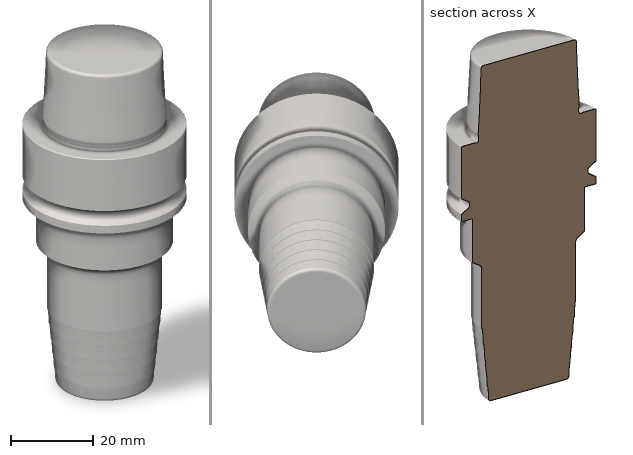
import cadquery as cq
import math

total_height = 89.9
flange_top = 69.9
flange_bottom = 49.8
collar_bottom = 38.1
grip_top = 20.05

taper_top_radius = 14.2
taper_base_radius = 15.1
taper_base_height = 71.9
taper_top_round = 0.8
neck_radius = 14.9
neck_top = 71.2
neck_foot_radius = 15.3
neck_foot_top = 70.4
recess_radius = 16.0
recess_depth = 0.2

flange_diameter = 40.0
flange_radius = flange_diameter / 2
flange_chamfer = 0.2
groove_top = 55.9
groove_bottom = 51.9
groove_radius = 17.6
groove_round = 0.8

collar_radius = 16.7
body_radius = 14.0
shoulder_round = 1.1
flank_angle = math.radians(30)

band_count = 5
band_step = 0.135
nose_radius = 12.0
nose_round = 0.8


def cone_drop(outer_radius, inner_radius):
    """Axial length of a conical flank between two radii."""
    return (outer_radius - inner_radius) * math.tan(flank_angle)


def revolve_profile(points):
    """Solid of revolution about Z from (radius, height) points."""
    return cq.Workplane("XZ").polyline(points).close().revolve(360, (0, 0, 0), (0, 1, 0))


def circle_edge(radius, height):
    """Selector for the circular edge that crosses the given radius and height."""
    margin = 0.02
    return cq.selectors.BoxSelector(
        (-radius - margin, -radius - margin, height - margin),
        (radius + margin, radius + margin, height + margin),
        boundingbox=True,
    )


def nose_bands():
    """Points down the stepped, tapered nose."""
    band_height = grip_top / band_count
    band_taper = (body_radius - nose_radius) / band_count - band_step
    points = []
    radius = body_radius
    for band in range(band_count):
        band_top = grip_top - band * band_height
        radius -= band_step
        points.append((radius, band_top))
        radius -= band_taper
        points.append((radius, band_top - band_height))
    return points


groove_drop = cone_drop(flange_radius, groove_radius)
groove_floor_top = groove_top - groove_drop
groove_floor_bottom = groove_bottom + groove_drop
shoulder_bottom = collar_bottom - cone_drop(collar_radius, body_radius)

profile = [
    (0, total_height),
    (taper_top_radius, total_height),
    (taper_base_radius, taper_base_height),
    (neck_radius, neck_top),
    (neck_radius, neck_foot_top),
    (neck_foot_radius, flange_top - recess_depth),
    (recess_radius, flange_top),
    (flange_radius - flange_chamfer, flange_top),
    (flange_radius, flange_top - flange_chamfer),
    (flange_radius, groove_top),
    (groove_radius, groove_floor_top),
    (groove_radius, groove_floor_bottom),
    (flange_radius, groove_bottom),
    (flange_radius, flange_bottom),
    (collar_radius, flange_bottom),
    (collar_radius, collar_bottom),
    (body_radius, shoulder_bottom),
    (body_radius, grip_top),
    *nose_bands(),
    (0, 0),
]

result = revolve_profile(profile)
rounded_edges = [
    (taper_top_radius, total_height, taper_top_round),
    (groove_radius, groove_floor_top, groove_round),
    (groove_radius, groove_floor_bottom, groove_round),
    (body_radius, shoulder_bottom, shoulder_round),
    (nose_radius, 0, nose_round),
]
for edge_radius, edge_height, round_radius in rounded_edges:
    result = result.edges(circle_edge(edge_radius, edge_height)).fillet(round_radius)